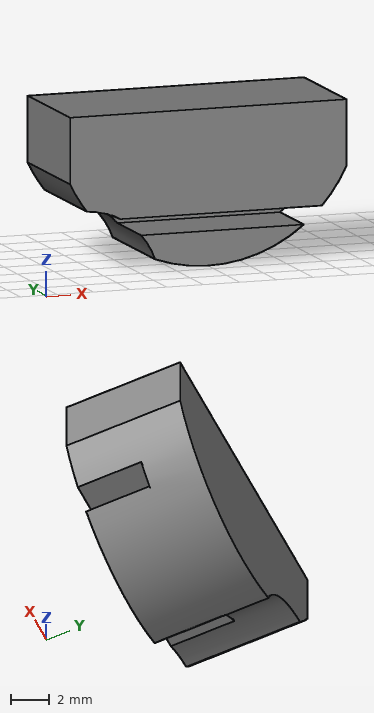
import cadquery as cq

length = 15.11
width = 6.5
height = 8.23
side_height = 3.49

arc_rise = height - side_height

scoop_radius = 4.13
scoop_x = -6.78
scoop_z = -0.88

slot_height = 0.92
slot_floor = 1.83
slot_depth = 3.63


def make_body():
    """Block with flat top and sides and a round underside, resting on Z = 0."""
    return (
        cq.Workplane("XZ", origin=(0, width / 2, 0))
        .moveTo(-length / 2, arc_rise)
        .lineTo(-length / 2, height)
        .lineTo(length / 2, height)
        .lineTo(length / 2, arc_rise)
        .threePointArc((0, 0), (-length / 2, arc_rise))
        .close()
        .extrude(width)
    )


def make_scoop():
    """Cylinder that hollows the underside over the full width."""
    return (
        cq.Workplane("XZ", origin=(0, width / 2, 0))
        .center(scoop_x, scoop_z)
        .circle(scoop_radius)
        .extrude(width)
    )


def make_slot():
    """Flat slot along X, open to the -Y face and at both ends."""
    return (
        cq.Workplane("XY", origin=(0, -width / 2, slot_floor))
        .box(length, slot_depth, slot_height, centered=(True, False, False))
    )


result = make_body().cut(make_scoop()).cut(make_slot())